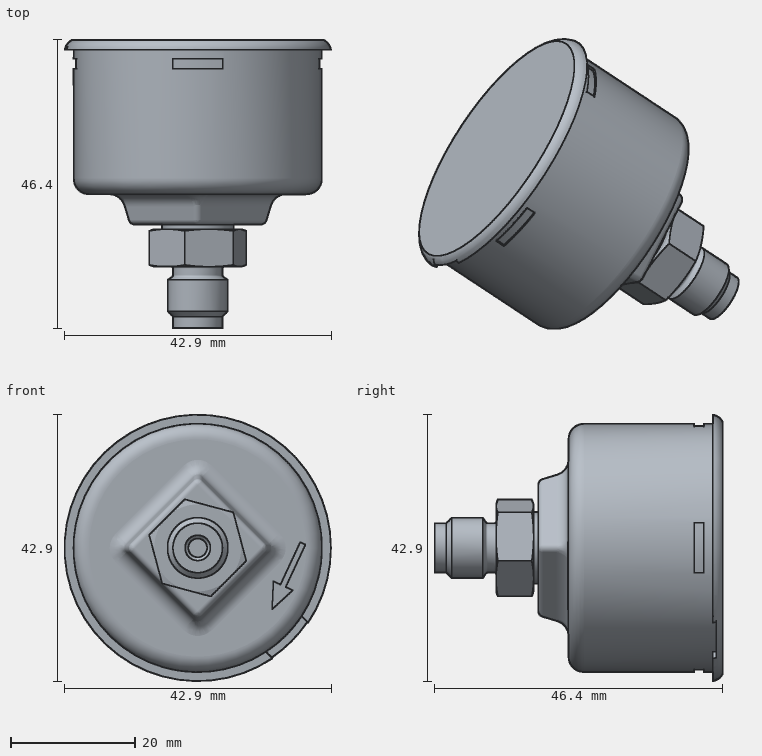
import cadquery as cq
import math


case_radius = 20.0
case_depth = 24.85
case_edge_radius = 2.5

lip_diameter = 42.9
lip_radius = lip_diameter / 2
lip_shoulder_radius = 21.05
lip_shoulder_depth = 0.7
lip_rear_radius = 20.25
lip_depth = 1.62
lip_notch_width = 8.1
lip_notch_depth = 0.5
lip_notch_angle = -45

window_width = 8.07
window_start = 3.05
window_end = 4.65
window_recess = 0.35
window_count = 4

boss_end = 29.75
boss_base_side = 18.0
boss_rotation = 45
boss_draft = 12
boss_corner_radius = 0.97
boss_edge_radius = 0.97
boss_root_radius = 2.45

collar_diameter = 11.6
hex_start = 30.5
hex_end = 36.5
hex_across_flats = 14.0
hex_rotation = 45
hex_chamfer_angle = 15

total_length = 46.4
neck_diameter = 8.0
neck_end = 37.85
neck_fillet = 0.3
thread_diameter = 9.75
thread_start = 38.65
thread_end = 43.65
tip_start = 44.55
bore_mouth_diameter = 4.1
bore_floor_diameter = 3.0

arrow_tip = (11.95, -9.9)
arrow_head_length = 4.18
arrow_head_width = 3.45
arrow_length = 11.7
arrow_shaft_width = 0.95
arrow_angle = 65
arrow_height = 0.1
arrow_root = 0.25


def at_depth(depth):
    """Work plane facing -Y, with local x along X and local y along Z."""
    return cq.Workplane("XZ", origin=(0, -depth, 0))


def disc(diameter, start, end):
    return at_depth(start).circle(diameter / 2).extrude(end - start)


def revolve_profile(profile):
    """Revolve a closed (radius, Y) profile around the Y axis."""
    return profile.close().revolve(360, (0, 0, 0), (0, 1, 0))


def make_case():
    return disc(2 * case_radius, 0, case_depth).faces("<Y").edges().fillet(case_edge_radius)


def make_lip():
    lip = revolve_profile(
        cq.Workplane("XY")
        .lineTo(lip_rear_radius, 0)
        .threePointArc((lip_shoulder_radius, -lip_shoulder_depth), (lip_radius, -lip_depth))
        .lineTo(0, -lip_depth)
    )
    notch = (
        at_depth(lip_depth - lip_notch_depth)
        .transformed(rotate=(0, 0, lip_notch_angle))
        .center(lip_radius, 0)
        .rect(lip_radius, lip_notch_width)
        .extrude(lip_notch_depth)
    )
    return lip.cut(notch)


def make_windows():
    ring = (
        at_depth(window_start)
        .circle(lip_radius)
        .circle(case_radius - window_recess)
        .extrude(window_end - window_start)
    )
    bars = (
        at_depth(window_start)
        .polarArray(case_radius, 0, 360, window_count)
        .rect(case_radius, window_width)
        .extrude(window_end - window_start)
    )
    return ring.intersect(bars)


def make_boss():
    boss = (
        at_depth(case_depth)
        .transformed(rotate=(0, 0, boss_rotation))
        .rect(boss_base_side, boss_base_side)
        .extrude(boss_end - case_depth, taper=boss_draft)
    )
    boss = boss.edges("not(#Y)").fillet(boss_corner_radius)
    return boss.faces("<Y").edges().fillet(boss_edge_radius)


def blend_boss_root(body):
    """Fillet the boss outline where it meets the front face of the case."""
    reach = boss_base_side / math.sqrt(2)
    margin = 0.05
    outline = cq.selectors.BoxSelector(
        (-reach, -case_depth - margin, -reach), (reach, -case_depth + margin, reach)
    )
    return body.edges(outline).fillet(boss_root_radius)


def make_hex():
    hex_depth = hex_end - hex_start
    corner_radius = hex_across_flats / math.sqrt(3)
    chamfer_width = corner_radius - hex_across_flats / 2
    chamfer_depth = chamfer_width * math.tan(math.radians(hex_chamfer_angle))
    prism = (
        at_depth(hex_start)
        .transformed(rotate=(0, 0, hex_rotation))
        .polygon(6, 2 * corner_radius)
        .extrude(hex_depth)
    )
    turned_blank = disc(2 * corner_radius, hex_start, hex_end)
    turned_blank = turned_blank.faces("<Y").edges().chamfer(chamfer_depth, chamfer_width)
    turned_blank = turned_blank.faces(">Y").edges().chamfer(chamfer_depth, chamfer_width)
    return prism.intersect(turned_blank)


def make_stem():
    neck_radius = neck_diameter / 2
    thread_radius = thread_diameter / 2
    bore_floor = total_length - (bore_mouth_diameter - bore_floor_diameter) / 2
    return revolve_profile(
        cq.Workplane("XY")
        .moveTo(0, -hex_end)
        .lineTo(neck_radius + neck_fillet, -hex_end)
        .radiusArc((neck_radius, -hex_end - neck_fillet), -neck_fillet)
        .lineTo(neck_radius, -neck_end)
        .tangentArcPoint((neck_fillet / 2, -neck_fillet))
        .lineTo(thread_radius, -thread_start)
        .lineTo(thread_radius, -thread_end)
        .lineTo(neck_radius, -tip_start)
        .lineTo(neck_radius, -total_length)
        .lineTo(bore_mouth_diameter / 2, -total_length)
        .lineTo(bore_floor_diameter / 2, -bore_floor)
        .lineTo(0, -bore_floor)
    )


def make_arrow():
    head = arrow_head_width / 2
    shaft = arrow_shaft_width / 2
    return (
        at_depth(case_depth - arrow_root)
        .center(*arrow_tip)
        .transformed(rotate=(0, 0, arrow_angle))
        .polyline([
            (0, 0),
            (arrow_head_length, head),
            (arrow_head_length, shaft),
            (arrow_length, shaft),
            (arrow_length, -shaft),
            (arrow_head_length, -shaft),
            (arrow_head_length, -head),
        ])
        .close()
        .extrude(arrow_root + arrow_height)
    )


case_with_boss = blend_boss_root(make_case().union(make_boss()))
body = case_with_boss.union(make_lip()).cut(make_windows()).union(make_arrow())
collar = disc(collar_diameter, boss_end, hex_start)
result = body.union(collar).union(make_hex()).union(make_stem())